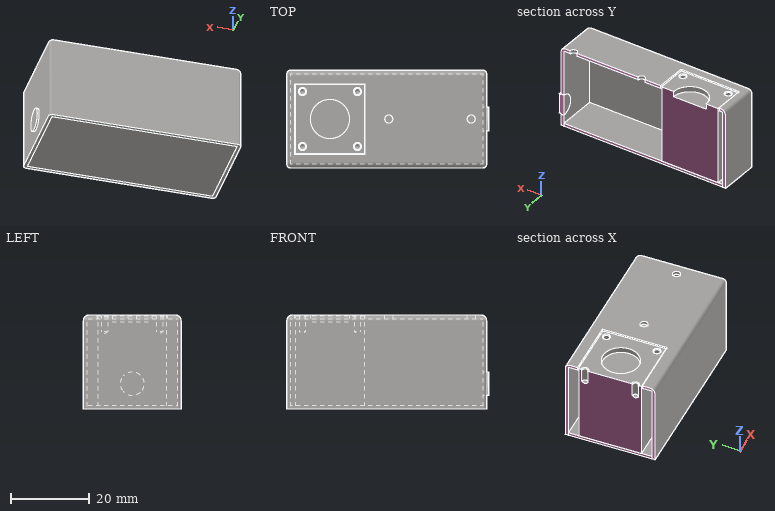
import cadquery as cq
import math

case_length = 51.0
case_width = 25.0
case_height = 24.0
wall = 1.0
corner_radius = 1.0
top_edge_radius = 1.5

block_center_x = 11.0
window_side = 17.95
block_side = 17.5
block_drop = 0.25

aperture_diameter = 10.0
aperture_depth = 1.6
screw_spacing = 14.0
screw_diameter = 1.6
screw_mouth_diameter = 2.05
screw_depth = 4.0
drill_tip_angle = 118

indicator_xs = (26.0, 47.0)
indicator_diameter = 2.05

button_diameter = 6.0
button_center_z = 6.5
button_rise = 0.5

cavity_length = case_length - 2 * wall
cavity_width = case_width - 2 * wall
lid_thickness = wall
block_top = case_height - block_drop
cavity_end_x = case_length - wall


def box_on(length, width, height, center_x, bottom_z):
    """Box centred on the mid-plane, standing at bottom_z."""
    return (
        cq.Workplane("XY", origin=(center_x, 0, bottom_z))
        .box(length, width, height, centered=(True, True, False))
    )


def button_cylinder(length):
    """Cylinder along +X that starts at the inner face of the right-hand wall."""
    return (
        cq.Workplane("YZ", origin=(cavity_end_x, 0, button_center_z))
        .circle(button_diameter / 2)
        .extrude(length)
    )


def make_case():
    shell = box_on(case_length, case_width, case_height, case_length / 2, 0)
    shell = shell.edges("|Z").fillet(corner_radius)
    shell = shell.faces(">Z").edges().fillet(top_edge_radius)
    shell = shell.cut(box_on(cavity_length, cavity_width, case_height - wall, case_length / 2, 0))

    top_wall_bottom = case_height - wall
    window = box_on(window_side, window_side, wall, block_center_x, top_wall_bottom)
    indicator_holes = (
        cq.Workplane("XY", origin=(0, 0, top_wall_bottom))
        .pushPoints([(x, 0) for x in indicator_xs])
        .circle(indicator_diameter / 2)
        .extrude(wall)
    )
    return shell.cut(window).cut(indicator_holes).cut(button_cylinder(wall))


def make_lid():
    """Plate that fits inside the walls and closes the underside."""
    return box_on(cavity_length, cavity_width, lid_thickness, case_length / 2, 0)


def screw_hole_cutter():
    """Blind drilled hole with a 45-degree chamfered mouth, its mouth at the origin."""
    radius = screw_diameter / 2
    mouth_radius = screw_mouth_diameter / 2
    tip_length = radius / math.tan(math.radians(drill_tip_angle / 2))
    return (
        cq.Workplane("XZ")
        .moveTo(0, 0)
        .lineTo(mouth_radius, 0)
        .lineTo(radius, radius - mouth_radius)
        .lineTo(radius, -screw_depth)
        .lineTo(0, -screw_depth - tip_length)
        .close()
        .revolve(360, (0, 0, 0), (0, 1, 0))
    )


def make_block():
    """Block that stands on the lid and reaches up into the window."""
    block = box_on(block_side, block_side, block_top - lid_thickness, block_center_x, lid_thickness)
    block = block.faces(">Z").workplane().hole(aperture_diameter, aperture_depth)
    half_spacing = screw_spacing / 2
    for side_x in (-1, 1):
        for side_y in (-1, 1):
            mouth = (block_center_x + side_x * half_spacing, side_y * half_spacing, block_top)
            block = block.cut(screw_hole_cutter().translate(mouth))
    return block


def make_button():
    """Disc that fills its hole in the wall and stands proud of it."""
    return button_cylinder(wall + button_rise)


case = make_case()
lid = make_lid()
block = make_block()
button = make_button()

result = cq.Compound.makeCompound([case.val(), lid.val(), block.val(), button.val()])